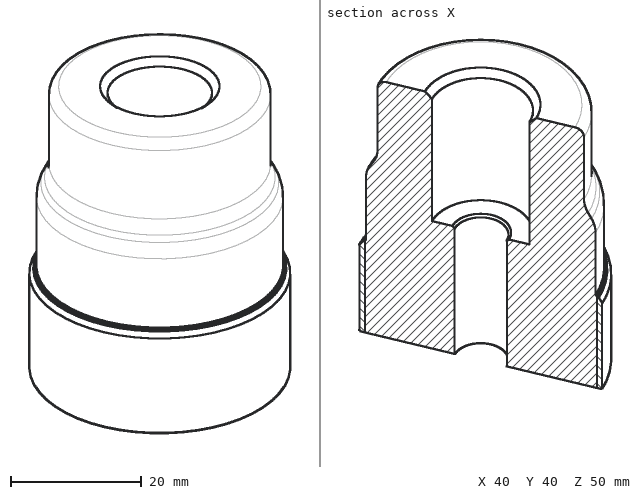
import cadquery as cq
import math

height = 50.0
neck_radius = 17.0
shoulder_radius = 18.9
top_round = 1.5
shoulder_top = 36.4
blend_radius = 5.0
blend_angle = math.radians(30)

bore_radius = 8.0
bore_chamfer = 1.15
bore_floor = 25.0
hole_radius = 4.25
hole_chamfer = 0.4

foot_radius = 19.1
foot_height = 18.0
foot_bevel_height = 0.25

sleeve_radius = 20.0
sleeve_height = 17.85
sleeve_chamfer_height = 0.9
sleeve_chamfer_width = 0.6
sleeve_bottom_chamfer = 0.25


def revolve_profile(profile):
    """Turn a closed profile, drawn as (radius, height), about the Z axis."""
    return profile.close().revolve(360, (0, 0, 0), (0, 1, 0))


def blend_offset(angle):
    """Radial and axial travel along a shoulder arc that starts parallel to the axis."""
    return blend_radius * (1 - math.cos(angle)), blend_radius * math.sin(angle)


def make_core():
    mid_width, mid_drop = blend_offset(blend_angle / 2)
    arc_width, arc_drop = blend_offset(blend_angle)
    cone_width = shoulder_radius - neck_radius - 2 * arc_width
    cone_drop = cone_width / math.tan(blend_angle)
    shoulder_bottom = shoulder_top - 2 * arc_drop - cone_drop
    round_mid = top_round * (1 - math.sqrt(0.5))

    outline = (
        cq.Workplane("XZ")
        .moveTo(hole_radius, 0)
        .lineTo(foot_radius, 0)
        .lineTo(foot_radius, foot_height)
        .lineTo(shoulder_radius, foot_height + foot_bevel_height)
        .lineTo(shoulder_radius, shoulder_bottom)
        .threePointArc(
            (shoulder_radius - mid_width, shoulder_bottom + mid_drop),
            (shoulder_radius - arc_width, shoulder_bottom + arc_drop),
        )
        .lineTo(neck_radius + arc_width, shoulder_top - arc_drop)
        .threePointArc(
            (neck_radius + mid_width, shoulder_top - mid_drop),
            (neck_radius, shoulder_top),
        )
        .lineTo(neck_radius, height - top_round)
        .threePointArc(
            (neck_radius - round_mid, height - round_mid),
            (neck_radius - top_round, height),
        )
        .lineTo(bore_radius + bore_chamfer, height)
        .lineTo(bore_radius, height - bore_chamfer)
        .lineTo(bore_radius, bore_floor)
        .lineTo(hole_radius + hole_chamfer, bore_floor)
        .lineTo(hole_radius, bore_floor - hole_chamfer)
    )
    return revolve_profile(outline)


def make_sleeve():
    outline = (
        cq.Workplane("XZ")
        .moveTo(foot_radius, 0)
        .lineTo(sleeve_radius - sleeve_bottom_chamfer, 0)
        .lineTo(sleeve_radius, sleeve_bottom_chamfer)
        .lineTo(sleeve_radius, sleeve_height - sleeve_chamfer_height)
        .lineTo(sleeve_radius - sleeve_chamfer_width, sleeve_height)
        .lineTo(foot_radius, sleeve_height)
    )
    return revolve_profile(outline)


core = make_core()
sleeve = make_sleeve()

result = cq.Compound.makeCompound([core.val(), sleeve.val()])